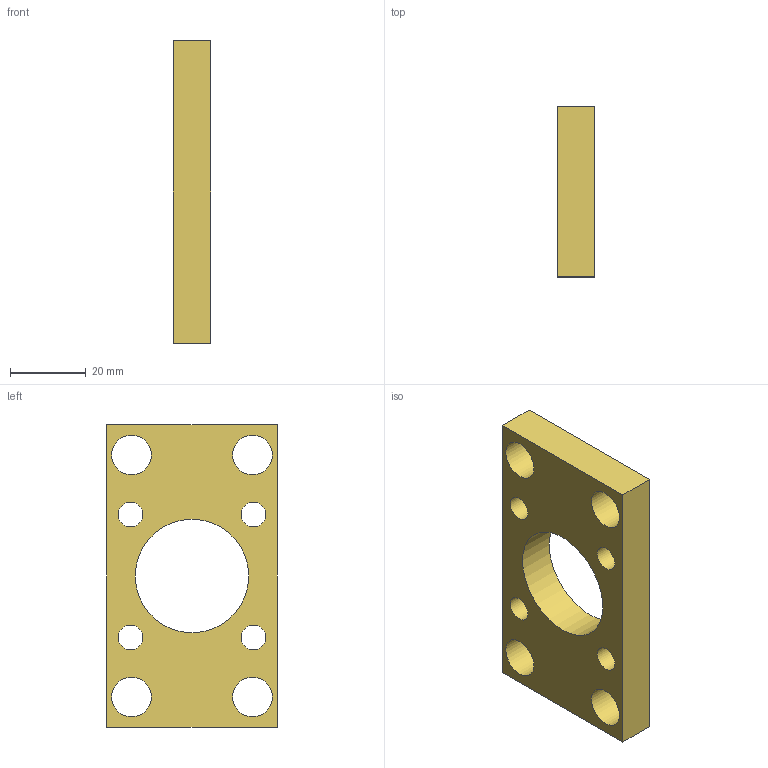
import cadquery as cq

thickness = 10.0
width = 45.0
height = 80.0

bore_diameter = 30.0

corner_hole_diameter = 10.5
corner_hole_spacing_y = 32.0
corner_hole_spacing_z = 64.0

inner_hole_diameter = 6.5
inner_hole_spacing = 32.5


def make_plate():
    return cq.Workplane("XY").box(thickness, width, height)


def drill_bore(body):
    return body.faces(">X").workplane(origin=(0, 0, 0)).hole(bore_diameter)


def drill_four_holes(body, diameter, spacing_y, spacing_z):
    """Drill a rectangular pattern of four through holes centred on the bore."""
    face = body.faces(">X").workplane(origin=(0, 0, 0))
    return face.rarray(spacing_y, spacing_z, 2, 2).hole(diameter)


result = make_plate()
result = drill_bore(result)
result = drill_four_holes(result, corner_hole_diameter, corner_hole_spacing_y, corner_hole_spacing_z)
result = drill_four_holes(result, inner_hole_diameter, inner_hole_spacing, inner_hole_spacing)